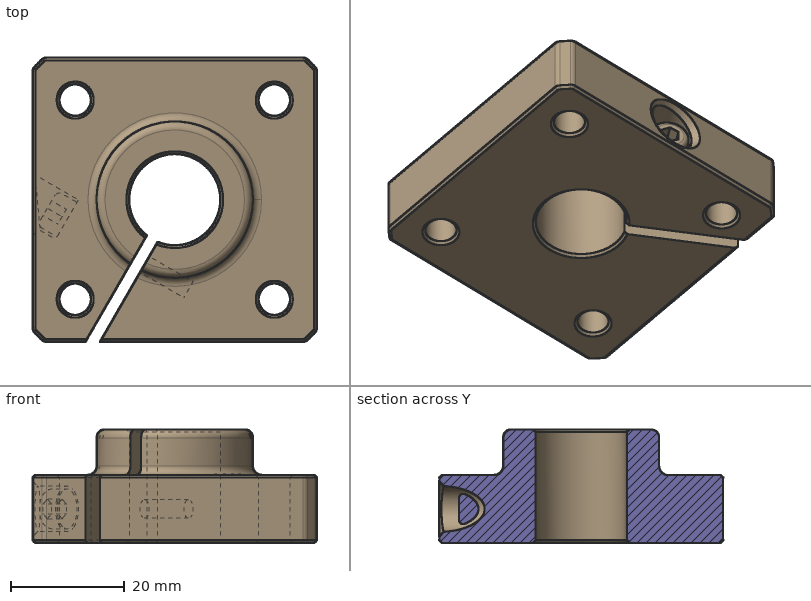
import cadquery as cq
import math

SIDE = 50
BASE_HEIGHT = 12
TOTAL_HEIGHT = 20
CORNER_CHAMFER = 2
CORNER_BLEND = 1.2
EDGE_CHAMFER = 0.5

BOSS_DIAMETER = 27.5
BOSS_FILLET = 1.5
BORE_DIAMETER = 16

MOUNT_DIAMETER = 5.5
MOUNT_SPACING = 35

SLOT_WIDTH = 2.2
SLOT_ANGLE = 30

SCREW_RADIUS = 12.5
SCREW_HEIGHT = BASE_HEIGHT / 2
COUNTERBORE_DIAMETER = 8
COUNTERBORE_CHAMFER = 0.9
HEAD_DIAMETER = 7
HEAD_HEIGHT = 4
HEAD_FILLET = 1
HEAD_RECESS = 3
SOCKET_FLATS = 3
SOCKET_DEPTH = 3
TAP_DIAMETER = 3.25
TAP_DEPTH = 10

angle = math.radians(SLOT_ANGLE)
slot_direction = cq.Vector(-math.sin(angle), -math.cos(angle), 0)
screw_direction = cq.Vector(math.cos(angle), -math.sin(angle), 0)
slot_crossing = slot_direction * SCREW_RADIUS + cq.Vector(0, 0, SCREW_HEIGHT)
entry_to_slot = (SIDE / 2 + slot_crossing.x) / screw_direction.x


def screw_plane(depth):
    """Plane across the screw axis, at a depth below the -X side of the plate."""
    origin = slot_crossing + screw_direction * (depth - entry_to_slot)
    return cq.Workplane(cq.Plane(origin, xDir=slot_direction, normal=screw_direction))


def make_base():
    return (
        cq.Workplane("XY")
        .box(SIDE, SIDE, BASE_HEIGHT, centered=(True, True, False))
        .edges("|Z").chamfer(CORNER_CHAMFER)
        .edges("|Z").fillet(CORNER_BLEND)
        .faces("<Z or >Z").chamfer(EDGE_CHAMFER)
    )


def make_boss():
    """Half profile turned about Z, with a convex top edge and a flared foot."""
    radius = BOSS_DIAMETER / 2
    diagonal = BOSS_FILLET * math.sqrt(0.5)
    foot_center = (radius + BOSS_FILLET, BASE_HEIGHT + BOSS_FILLET)
    top_center = (radius - BOSS_FILLET, TOTAL_HEIGHT - BOSS_FILLET)
    return (
        cq.Workplane("XZ")
        .moveTo(0, SCREW_HEIGHT)
        .lineTo(foot_center[0], SCREW_HEIGHT)
        .lineTo(foot_center[0], BASE_HEIGHT)
        .threePointArc((foot_center[0] - diagonal, foot_center[1] - diagonal), (radius, foot_center[1]))
        .lineTo(radius, top_center[1])
        .threePointArc((top_center[0] + diagonal, top_center[1] + diagonal), (top_center[0], TOTAL_HEIGHT))
        .lineTo(0, TOTAL_HEIGHT)
        .close()
        .revolve(360, (0, 0), (0, 1))
    )


def through_hole(diameter, height):
    """Cutter for a vertical hole from Z = 0, chamfered at both ends."""
    radius = diameter / 2
    wide = radius + EDGE_CHAMFER
    profile = [
        (0, 0), (wide, 0), (radius, EDGE_CHAMFER),
        (radius, height - EDGE_CHAMFER), (wide, height), (0, height),
    ]
    return cq.Workplane("XZ").polyline(profile).close().revolve(360, (0, 0), (0, 1))


def make_slot():
    middle = slot_direction * (SIDE / 2)
    plane = cq.Plane(middle, xDir=slot_direction, normal=(0, 0, 1))
    return cq.Workplane(plane).rect(SIDE, SLOT_WIDTH).extrude(TOTAL_HEIGHT)


def make_counterbore_chamfer():
    """Loft from a wide ellipse on the plate side to a tilted ellipse on the counterbore wall.

    The wall meets the plate side at 90 + SLOT_ANGLE on its +Y flank and 90 - SLOT_ANGLE on
    its -Y flank, so an equal setback gives a short bevel at +Y and a long one at -Y.
    """
    radius = COUNTERBORE_DIAMETER / 2
    entry_y = screw_plane(0).plane.origin.y
    half_width = radius / math.cos(angle)
    short_leg = COUNTERBORE_CHAMFER * math.tan(math.pi / 4 - angle / 2)
    long_leg = COUNTERBORE_CHAMFER * math.tan(math.pi / 4 + angle / 2)

    outer_center = cq.Vector(-SIDE / 2, entry_y + (short_leg - long_leg) / 2, SCREW_HEIGHT)
    outer_half_width = half_width + (short_leg + long_leg) / 2
    outer_plane = cq.Plane(outer_center, xDir=(0, 1, 0), normal=(1, 0, 0))
    outer = cq.Workplane(outer_plane).ellipse(outer_half_width, radius + COUNTERBORE_CHAMFER)

    entry = cq.Vector(-SIDE / 2, entry_y, SCREW_HEIGHT)
    plus_end = entry + cq.Vector(0, half_width, 0) + screw_direction * short_leg
    minus_end = entry - cq.Vector(0, half_width, 0) + screw_direction * long_leg
    across = plus_end - minus_end
    inner_plane = cq.Plane((plus_end + minus_end) * 0.5, xDir=across, normal=(across.y, -across.x, 0))
    inner = cq.Workplane(inner_plane).ellipse(across.Length / 2, radius)

    bevel = cq.Solid.makeLoft([outer.wire().val(), inner.wire().val()], True)
    return cq.Workplane(bevel)


def make_screw_head():
    return (
        screw_plane(HEAD_RECESS)
        .circle(HEAD_DIAMETER / 2)
        .extrude(HEAD_HEIGHT)
        .faces(cq.selectors.DirectionMinMaxSelector(screw_direction, False))
        .edges().fillet(HEAD_FILLET)
        .cut(
            screw_plane(HEAD_RECESS)
            .polygon(6, SOCKET_FLATS, circumscribed=True)
            .extrude(SOCKET_DEPTH)
        )
    )


part = make_base().union(make_boss())
part = part.cut(through_hole(BORE_DIAMETER, TOTAL_HEIGHT))
for x in (-MOUNT_SPACING / 2, MOUNT_SPACING / 2):
    for y in (-MOUNT_SPACING / 2, MOUNT_SPACING / 2):
        part = part.cut(through_hole(MOUNT_DIAMETER, BASE_HEIGHT).translate((x, y, 0)))

seat_depth = HEAD_RECESS + HEAD_HEIGHT
counterbore = screw_plane(-COUNTERBORE_DIAMETER).circle(COUNTERBORE_DIAMETER / 2)
part = part.cut(counterbore.extrude(seat_depth + COUNTERBORE_DIAMETER))
part = part.cut(make_counterbore_chamfer())

part = part.cut(screw_plane(entry_to_slot).circle(TAP_DIAMETER / 2).extrude(TAP_DEPTH))
part = part.cut(make_slot())

result = part.union(make_screw_head())